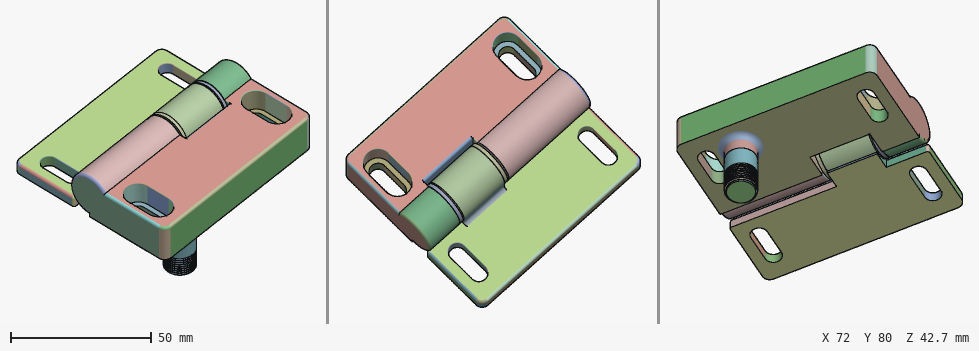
import cadquery as cq
import math


half_width = 36.0
length = 80.0
corner_radius = 3.0
rim_fillet = 1.0
small_fillet = 0.25

axis_height = 10.0
barrel_radius = 9.0

thin_leaf_height = 4.5
thin_leaf_inner_x = -7.2
thin_leaf_corner_fillet = 1.0
thick_leaf_height = 15.5

knuckle_width = 20.0
knuckle_center_y = 13.0
knuckle_root_fillet = 1.5
washer_thickness = 1.5
shim_thickness = 0.5
end_gap = 0.5

pocket_wall_x = barrel_radius + 0.5
knuckle_front_y = knuckle_center_y - knuckle_width / 2
knuckle_back_y = knuckle_center_y + knuckle_width / 2
pocket_front_y = knuckle_front_y - washer_thickness - end_gap
pocket_back_y = knuckle_back_y + shim_thickness + washer_thickness

slot_y = 32.0
slot_radius = 3.25
thin_slot_x = -20.5
thin_slot_span = 11.0
thick_slot_x = 21.0
thick_slot_span = 10.0
counterbore_radius = 5.25
counterbore_floor = 6.5

outlet_x = 24.5
outlet_y = -19.0
outlet_radius = 6.0
boss_height = 6.66
boss_fillet = 2.2
connector_length = 17.0
connector_chamfer = 0.8
thread_pitch = 1.0
thread_depth = 0.6
thread_length = 9.0

tolerance = 0.01


def box(x_min, x_max, y_min, y_max, z_min, z_max):
    """Block given by its limits along each axis."""
    size = (x_max - x_min, y_max - y_min, z_max - z_min)
    return cq.Workplane("XY").box(*size, centered=False).translate((x_min, y_min, z_min))


def barrel(y_min, y_max):
    """Solid cylinder on the hinge axis."""
    return (
        cq.Workplane("XZ", origin=(0, y_max, axis_height))
        .circle(barrel_radius)
        .extrude(y_max - y_min)
    )


def slots(center_x, span, radius, z_min, z_max):
    """Pair of slot-shaped prisms, long side along X."""
    return (
        cq.Workplane("XY", origin=(0, 0, z_min))
        .pushPoints([(center_x, -slot_y), (center_x, slot_y)])
        .slot2D(span + 2 * radius, 2 * radius)
        .extrude(z_max - z_min)
    )


def cut_rounded_slots(leaf, center_x, span, radius, z_min, z_top):
    """Cut slots into a leaf from its top face and round their upper rims."""
    leaf = leaf.cut(slots(center_x, span, radius, z_min, z_top))
    reach = span / 2 + radius + tolerance
    for side in (-1, 1):
        rim_zone = cq.selectors.BoxSelector(
            (center_x - reach, side * slot_y - radius - tolerance, z_top - tolerance),
            (center_x + reach, side * slot_y + radius + tolerance, z_top + tolerance),
            boundingbox=True,
        )
        leaf = leaf.edges(rim_zone).fillet(small_fillet)
    return leaf


def make_thin_leaf():
    plate = box(-half_width, thin_leaf_inner_x, -length / 2, length / 2, 0, thin_leaf_height)
    plate = plate.edges("|Z and <X").fillet(corner_radius)
    plate = plate.edges("|Z and >X").fillet(thin_leaf_corner_fillet)
    plate = plate.faces(">Z").edges().fillet(rim_fillet - tolerance)
    plate = cut_rounded_slots(plate, thin_slot_x, thin_slot_span, slot_radius, 0, thin_leaf_height)

    back_x = -barrel_radius
    root_x = back_x - knuckle_root_fillet
    root_top = thin_leaf_height + knuckle_root_fillet
    root_mid = knuckle_root_fillet * (1 - math.sqrt(0.5))
    knuckle = (
        cq.Workplane("XZ", origin=(0, knuckle_back_y, 0))
        .moveTo(0, 0)
        .lineTo(root_x, 0)
        .lineTo(root_x, thin_leaf_height)
        .threePointArc((back_x - root_mid, thin_leaf_height + root_mid), (back_x, root_top))
        .lineTo(back_x, axis_height)
        .threePointArc((0, axis_height + barrel_radius), (barrel_radius, axis_height))
        .threePointArc(
            (barrel_radius * math.sqrt(0.5), axis_height - barrel_radius * math.sqrt(0.5)),
            (0, axis_height - barrel_radius),
        )
        .close()
        .extrude(knuckle_width)
    )
    above_plate = cq.selectors.BoxSelector(
        (root_x - 1, knuckle_front_y - 1, thin_leaf_height + tolerance),
        (barrel_radius + 1, knuckle_back_y + 1, axis_height + barrel_radius + 1),
    )
    end_edges = knuckle.faces("<Y or >Y").edges(above_plate)
    knuckle = end_edges.fillet(small_fillet)
    return plate.union(knuckle)


def make_thick_leaf():
    half_length = length / 2
    plate = box(0, half_width, -half_length, half_length, 0, thick_leaf_height)
    plate = plate.edges("|Z and >X").fillet(corner_radius)
    plate = plate.faces(">Z").edges("not <X").fillet(rim_fillet)
    full_barrel = barrel(-half_length, half_length).faces("<Y or >Y").edges().fillet(rim_fillet)
    leaf = plate.union(full_barrel)

    leaf = leaf.cut(
        box(-half_width, pocket_wall_x, pocket_front_y, pocket_back_y, -1, axis_height + 2 * barrel_radius)
    )
    for end_y in (pocket_front_y, pocket_back_y):
        end_edges = cq.selectors.BoxSelector(
            (-barrel_radius - 1, end_y - tolerance, axis_height - barrel_radius + tolerance),
            (pocket_wall_x + tolerance, end_y + tolerance, axis_height + barrel_radius + 1),
            boundingbox=False,
        )
        rim = leaf.edges(end_edges).edges("not |Z")
        leaf = rim.fillet(small_fillet)
    wall_round_mid = rim_fillet * (1 - math.sqrt(0.5))
    wall_round = (
        cq.Workplane("XZ", origin=(0, pocket_back_y, 0))
        .moveTo(pocket_wall_x, thick_leaf_height - rim_fillet)
        .threePointArc(
            (pocket_wall_x + wall_round_mid, thick_leaf_height - wall_round_mid),
            (pocket_wall_x + rim_fillet, thick_leaf_height),
        )
        .lineTo(pocket_wall_x, thick_leaf_height)
        .close()
        .extrude(pocket_back_y - pocket_front_y)
    )
    leaf = leaf.cut(wall_round)

    leaf = leaf.cut(slots(thick_slot_x, thick_slot_span, slot_radius, 0, thick_leaf_height))
    leaf = cut_rounded_slots(
        leaf, thick_slot_x, thick_slot_span, counterbore_radius, counterbore_floor, thick_leaf_height
    )

    flare_mid = boss_fillet * (1 - math.sqrt(0.5))
    boss = (
        cq.Workplane("XZ", origin=(outlet_x, outlet_y, 0))
        .moveTo(0, 0)
        .lineTo(outlet_radius + boss_fillet, 0)
        .threePointArc((outlet_radius + flare_mid, -flare_mid), (outlet_radius, -boss_fillet))
        .lineTo(outlet_radius, -boss_height)
        .lineTo(0, -boss_height)
        .close()
        .revolve(360, (0, 0, 0), (0, 1, 0))
    )
    return leaf.union(boss)


def make_connector():
    """Cylinder below the boss, with a helical thread cut into its lower end."""
    top_z = -boss_height
    end_z = top_z - connector_length
    body = (
        cq.Workplane("XY", origin=(0, 0, end_z))
        .circle(outlet_radius)
        .extrude(connector_length)
        .faces("<Z")
        .chamfer(connector_chamfer)
    )
    helix = cq.Wire.makeHelix(
        thread_pitch, thread_length + thread_pitch, outlet_radius, center=cq.Vector(0, 0, end_z - thread_pitch)
    )
    half_groove = 0.4 * thread_pitch
    crest = 0.1
    groove = (
        cq.Workplane("XZ", origin=(0, 0, end_z - thread_pitch))
        .moveTo(outlet_radius - thread_depth, 0)
        .lineTo(outlet_radius + crest, half_groove)
        .lineTo(outlet_radius + crest, -half_groove)
        .close()
        .sweep(cq.Workplane(obj=helix), isFrenet=True)
    )
    return body.cut(groove).rotate((0, 0, 0), (0, 0, 1), 180).translate((outlet_x, outlet_y, 0))


thin_leaf = make_thin_leaf()
thick_leaf = make_thick_leaf()
front_washer = barrel(knuckle_front_y - washer_thickness, knuckle_front_y)
back_shim = barrel(knuckle_back_y, knuckle_back_y + shim_thickness)
back_washer = barrel(knuckle_back_y + shim_thickness, pocket_back_y)
connector = make_connector()

bodies = [thin_leaf, thick_leaf, front_washer, back_shim, back_washer, connector]
result = cq.Compound.makeCompound([body.val() for body in bodies])